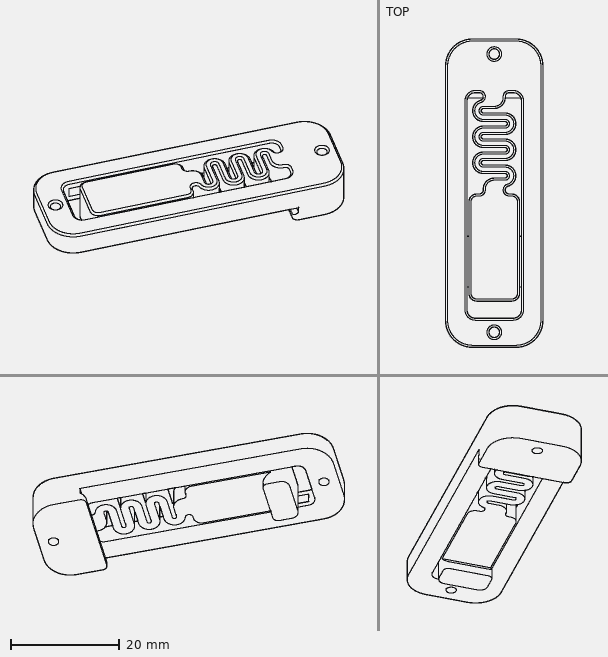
import cadquery as cq
import math

body_width = 18.0
body_length = 56.9
body_height = 7.6
foot_height = 3.1
body_corner_radius = 5.0
top_chamfer = 0.4
body_end = body_length / 2
plate_thickness = body_height - foot_height

hole_diameter = 1.9
hole_end_distance = 2.8

hook_length = 10.0
hook_lip = 0.95
hook_lip_radius = 1.0
hook_tip_height = 1.0
hook_wall = body_end - hook_length

paddle_width = 9.4
paddle_length = 19.8
paddle_corner_radius = 1.5
paddle_travel = 3.1
side_clearance = 0.3
opening_corner_radius = 1.5
opening_end_distance = 9.92
opening_top = body_end - opening_end_distance
opening_half_width = paddle_width / 2 + side_clearance

spring_length = 18.66
bar_width = 1.6
bar_gap = 0.8
turn_offset = 2.0
root_fillet = 0.72
turn_pitch = bar_width + bar_gap
inner_turn_radius = bar_gap / 2
outer_turn_radius = inner_turn_radius + bar_width
turn_count = 6
end_turn_y = (turn_count - 1) / 2 * turn_pitch
spring_end_y = spring_length / 2
spring_centre_y = opening_top - spring_end_y
paddle_top = opening_top - spring_length
paddle_bottom = paddle_top - paddle_length
opening_bottom = paddle_bottom - paddle_travel

root_fillet_y = spring_end_y - root_fillet
root_fillet_x = turn_offset + math.sqrt(
    (outer_turn_radius + root_fillet) ** 2 - (root_fillet_y - end_turn_y) ** 2
)

shoulder_start_y = end_turn_y + inner_turn_radius
shoulder_rise = root_fillet_y - shoulder_start_y
shoulder_radius = (root_fillet_x**2 + shoulder_rise**2 - root_fillet**2) / (
    2 * (shoulder_rise + root_fillet)
)

guide_depth = 1.0
guide_height = (foot_height + body_height - top_chamfer) / 2
ridge_length = 9.4
ridge_centre_y = -12.6
groove_length = 18.0

latch_length = 4.9
latch_tip_radius = 1.0
latch_tip_height = 1.5


same_point_tolerance = 1e-6


def arc(centre, radius, start_angle, end_angle):
    """Start, middle and end of an arc, with angles in degrees."""
    angles = (start_angle, (start_angle + end_angle) / 2, end_angle)
    return [
        (centre[0] + radius * math.cos(math.radians(a)), centre[1] + radius * math.sin(math.radians(a)))
        for a in angles
    ]


def spring_side():
    """Arcs down the -X side of the spring, about the spring centre; lines join one arc to the next."""
    end_turn = (-turn_offset, end_turn_y)
    upper_fillet = (-root_fillet_x, root_fillet_y)
    contact = math.degrees(math.atan2(root_fillet_y - end_turn_y, turn_offset - root_fillet_x))
    arcs = [
        arc(upper_fillet, root_fillet, 90, contact - 180),
        arc(end_turn, outer_turn_radius, contact, 270),
    ]
    for pair in range(turn_count // 2 - 1):
        inner_turn_y = end_turn_y - (2 * pair + 1) * turn_pitch
        inner_turn = (turn_offset, inner_turn_y)
        outer_turn = (-turn_offset, inner_turn_y - turn_pitch)
        arcs.append(arc(inner_turn, inner_turn_radius, 90, -90))
        arcs.append(arc(outer_turn, outer_turn_radius, 90, 270))
    arcs.append(arc((turn_offset, -end_turn_y), inner_turn_radius, 90, -90))

    shoulder = (0, -shoulder_start_y - shoulder_radius)
    lower_fillet = (-root_fillet_x, -root_fillet_y)
    touch = math.degrees(math.atan2(shoulder[1] - lower_fillet[1], root_fillet_x))
    arcs.append(arc(shoulder, shoulder_radius, 90, touch + 180))
    arcs.append(arc(lower_fillet, root_fillet, touch, -90))
    return arcs


def gap_outline():
    """Arcs around the gap that frees the spring and paddle from the plate."""
    left_side = spring_side()
    right_side = [[(-x, -y) for x, y in points] for points in left_side]

    def placed(side):
        return [[(x, y + spring_centre_y) for x, y in points] for points in side]

    paddle_x = paddle_width / 2 - paddle_corner_radius
    paddle_high = paddle_top - paddle_corner_radius
    paddle_low = paddle_bottom + paddle_corner_radius
    paddle = [
        arc((-paddle_x, paddle_high), paddle_corner_radius, 90, 180),
        arc((-paddle_x, paddle_low), paddle_corner_radius, 180, 270),
        arc((paddle_x, paddle_low), paddle_corner_radius, -90, 0),
        arc((paddle_x, paddle_high), paddle_corner_radius, 0, 90),
    ]
    opening_x = opening_half_width - opening_corner_radius
    opening_high = opening_top - opening_corner_radius
    opening_low = opening_bottom + opening_corner_radius
    opening = [
        arc((opening_x, opening_high), opening_corner_radius, 90, 0),
        arc((opening_x, opening_low), opening_corner_radius, 0, -90),
        arc((-opening_x, opening_low), opening_corner_radius, 270, 180),
        arc((-opening_x, opening_high), opening_corner_radius, 180, 90),
    ]
    return placed(left_side) + paddle + placed(right_side) + opening


def extrude_arcs(arcs, height):
    """Closed outline of arcs joined by straight lines, extruded upwards from Z = 0."""
    outline = cq.Workplane("XY").moveTo(*arcs[0][0])
    for index, (start, middle, end) in enumerate(arcs):
        if index > 0 and math.dist(arcs[index - 1][2], start) > same_point_tolerance:
            outline = outline.lineTo(*start)
        outline = outline.threePointArc(middle, end)
    return outline.close().extrude(height)


def rounded_block(width, low_y, high_y, low_radius, high_radius, height):
    """Block on Z = 0 with its own corner radius at each end."""
    block = cq.Workplane("XY").box(width, high_y - low_y, height, centered=(True, False, False))
    block = block.translate((0, low_y, 0))
    block = block.edges("|Z and <Y").fillet(low_radius)
    return block.edges("|Z and >Y").fillet(high_radius)


def across_body(points):
    """Prism across the full body width with a (Y, Z) profile."""
    return cq.Workplane("YZ").polyline(points).close().extrude(body_width / 2, both=True)


def make_plate():
    plate = rounded_block(
        body_width, -body_end, body_end, body_corner_radius, body_corner_radius, plate_thickness
    )
    plate = plate.cut(extrude_arcs(gap_outline(), plate_thickness))
    plate = plate.cut(make_holes())
    plate = plate.faces(">Z").edges().chamfer(top_chamfer)
    return plate.translate((0, 0, foot_height))


def make_holes():
    hole_y = body_end - hole_end_distance
    holes = cq.Workplane("XY").pushPoints([(0, hole_y), (0, -hole_y)])
    return holes.circle(hole_diameter / 2).extrude(body_height)


def make_hook():
    """Foot with a lip whose upper side slopes at 45 degrees to the foot wall."""
    lip_end = hook_wall - hook_lip
    hook = rounded_block(body_width, lip_end, body_end, hook_lip_radius, body_corner_radius, foot_height)
    undercut = across_body(
        [
            (lip_end, hook_tip_height),
            (hook_wall, hook_tip_height + hook_lip),
            (hook_wall, foot_height),
            (lip_end, foot_height),
        ]
    )
    return hook.cut(undercut).cut(make_holes())


def make_latch():
    """Foot under the paddle with a 45 degree slope facing the hook."""
    latch_tip = paddle_bottom + latch_length
    slope = foot_height - latch_tip_height
    latch = rounded_block(
        paddle_width, paddle_bottom, latch_tip, paddle_corner_radius, latch_tip_radius, foot_height
    )
    undercut = across_body(
        [(latch_tip, latch_tip_height), (latch_tip, foot_height), (latch_tip - slope, foot_height)]
    )
    return latch.cut(undercut)


def guide_pair(wall_x, low_y, high_y):
    """V-shaped bars pointing outwards from the planes X = +wall_x and X = -wall_x."""
    profile = [
        (wall_x, guide_height - guide_depth),
        (wall_x + guide_depth, guide_height),
        (wall_x, guide_height + guide_depth),
    ]
    bar = cq.Workplane("XZ").polyline(profile).close().extrude(low_y - high_y)
    bar = bar.translate((0, low_y, 0))
    return bar.union(bar.mirror("YZ"))


ridge_low = ridge_centre_y - ridge_length / 2
ridge_high = ridge_centre_y + ridge_length / 2
groove_low = opening_bottom + opening_corner_radius
ridges = guide_pair(paddle_width / 2, ridge_low, ridge_high)
grooves = guide_pair(opening_half_width, groove_low, groove_low + groove_length)

result = make_plate().cut(grooves).union(ridges).union(make_hook()).union(make_latch())